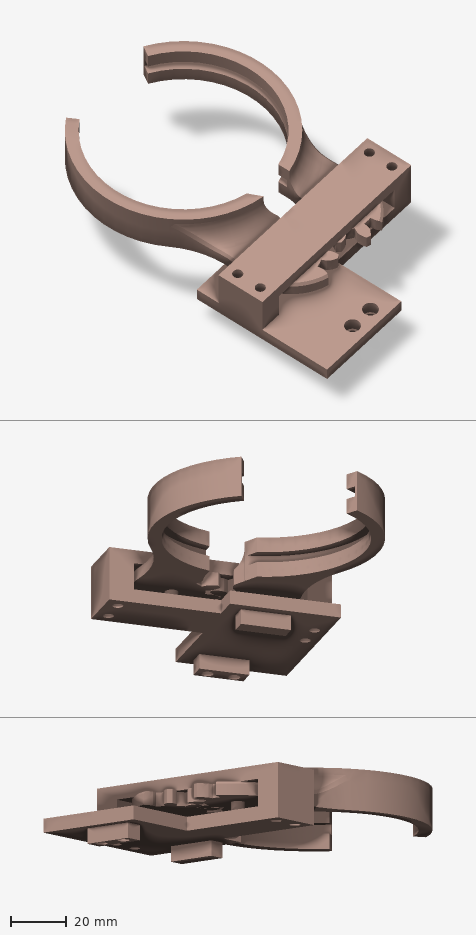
import cadquery as cq
import math


plate_thickness = 5.0
plate_left = -20.1
plate_right = 40.0
plate_back = -0.1
bridge_length = 84.1
bridge_width = 20.3
bridge_height = 15.0
leg_length = 9.3
tunnel_height = 10.0
screw_hole_diameter = 4.0
screw_spacing_x = 10.4
screw_spacing_y = 74.4

pad_height = 5.6
pad_length = 18.9
pad_sides = [(-16.3, -bridge_width / 2), (29.9, 36.6)]
mount_hole_x = 33.8
mount_hole_spacing = 10.1
mount_hole_diameter = 4.4
mount_counterbore_diameter = 6.0

pivot_y = 15.0
pin_diameter = 5.0
tooth_count = 10
tooth_pitch_angle = 360 / tooth_count
tooth_half_angle = 8.8
pressure_angle = 20
pitch_radius = pivot_y
tip_radius = 18.0
root_radius = 12.0
base_radius = pitch_radius * math.cos(math.radians(pressure_angle))
flank_steps = 4

overall_length = 137
jaw_bottom = plate_thickness + 4.9
gear_thickness = plate_thickness + tunnel_height - jaw_bottom
ring_height = 15.0
ring_outer_radius = 42.5
ring_inner_radius = 37.5
ring_tip_angle = 149
ring_inner_end_y = 8.9
ring_x = plate_right - overall_length - ring_outer_radius * math.cos(math.radians(ring_tip_angle))
groove_width = 3.8
groove_radius = 41.4
arm_fillet_radius = 7.5
arm_tangent_angle = 57.7
arm_curve_radius = 39.7
arm_turn_angle = 11.3
arm_end_radius = 22.9
arm_edge_chamfer = 1.0


def polar(radius, degrees, center=(0, 0)):
    """Point at a radius and angle about a center."""
    angle = math.radians(degrees)
    return (center[0] + radius * math.cos(angle), center[1] + radius * math.sin(angle))


def block(x_range, y_range, z_range):
    """Box between the given limits along each axis."""
    size = [limits[1] - limits[0] for limits in (x_range, y_range, z_range)]
    corner = (x_range[0], y_range[0], z_range[0])
    return cq.Workplane("XY").box(*size, centered=False).translate(corner)


def make_frame():
    half_length = bridge_length / 2
    half_width = bridge_width / 2
    bridge_top = plate_thickness + bridge_height

    frame = block((plate_left, plate_right), (-half_length, plate_back), (0, plate_thickness))
    bridge = block((-half_width, half_width), (-half_length, half_length), (0, bridge_top))
    tunnel_end = half_length - leg_length
    tunnel = block(
        (-half_width, half_width),
        (-tunnel_end, tunnel_end),
        (plate_thickness, plate_thickness + tunnel_height),
    )
    frame = frame.union(bridge.cut(tunnel))

    for sides in pad_sides:
        pad_ends = (-pivot_y - pad_length / 2, -pivot_y + pad_length / 2)
        frame = frame.union(block(sides, pad_ends, (-pad_height, 0)))

    pivot_pin = (
        cq.Workplane("XY")
        .center(0, pivot_y)
        .circle(pin_diameter / 2)
        .extrude(plate_thickness + tunnel_height)
    )
    frame = frame.union(pivot_pin)

    screw_holes = (
        cq.Workplane("XY")
        .rarray(screw_spacing_x, screw_spacing_y, 2, 2)
        .circle(screw_hole_diameter / 2)
        .extrude(bridge_top)
    )
    frame = frame.cut(screw_holes)

    mount_bores = [
        (mount_hole_diameter, plate_thickness + pad_height),
        (mount_counterbore_diameter, plate_thickness),
    ]
    for diameter, depth in mount_bores:
        bores = (
            cq.Workplane("XY", origin=(mount_hole_x, -pivot_y, plate_thickness))
            .rarray(1.4, mount_hole_spacing, 1, 2)
            .circle(diameter / 2)
            .extrude(-depth)
        )
        frame = frame.cut(bores)
    return frame


pivot = (0, pivot_y)
ring_center = (ring_x, 0)
arm_curve_center = polar(ring_outer_radius + arm_curve_radius, arm_tangent_angle, ring_center)
arm_end_center = polar(arm_curve_radius + arm_end_radius, -90 + arm_turn_angle, arm_curve_center)


def involute(degrees):
    """Involute function, in degrees."""
    angle = math.radians(degrees)
    return math.degrees(math.tan(angle)) - degrees


def half_angle_at(radius):
    """Half the angle that a gear tooth spans at a radius."""
    flank_angle = math.degrees(math.acos(base_radius / radius))
    return tooth_half_angle + involute(pressure_angle) - involute(flank_angle)


def make_tooth(axis_angle):
    """One involute tooth, reaching down into the gear hub with radial sides below the base circle."""
    step = (tip_radius - base_radius) / flank_steps
    radii = [base_radius + step * i for i in range(flank_steps + 1)]
    lower = [polar(r, axis_angle - half_angle_at(r), pivot) for r in radii]
    upper = [polar(r, axis_angle + half_angle_at(r), pivot) for r in reversed(radii)]
    return (
        cq.Workplane("XY")
        .moveTo(*pivot)
        .lineTo(*lower[0])
        .spline(lower[1:], includeCurrent=True)
        .threePointArc(polar(tip_radius, axis_angle, pivot), upper[0])
        .spline(upper[1:], includeCurrent=True)
        .close()
        .extrude(ring_height)
    )


def make_gear(first_tooth_angle):
    """Gear at full ring height; the flare later trims its top."""
    gear = cq.Workplane("XY").center(*pivot).circle(root_radius).extrude(ring_height)
    for i in range(tooth_count):
        gear = gear.union(make_tooth(first_tooth_angle - i * tooth_pitch_angle))
    return gear


def make_ring(outer_end):
    """Ring sector from the open tip to the end beside the gear."""
    inner_end_x = ring_x + math.sqrt(ring_inner_radius**2 - ring_inner_end_y**2)
    return (
        cq.Workplane("XY")
        .moveTo(*polar(ring_outer_radius, ring_tip_angle, ring_center))
        .threePointArc(polar(ring_outer_radius, 90, ring_center), outer_end)
        .lineTo(inner_end_x, ring_inner_end_y)
        .threePointArc(
            polar(ring_inner_radius, 90, ring_center),
            polar(ring_inner_radius, ring_tip_angle, ring_center),
        )
        .close()
        .extrude(ring_height)
    )


def arm_edge(end_angle):
    """Start of the arm's outer edge: a concave arc off the ring runs into the rounded arm end."""
    curve_end_angle = -90 + arm_turn_angle
    end_middle_angle = (90 + arm_turn_angle + end_angle) / 2
    return (
        cq.Workplane("XY")
        .moveTo(*polar(ring_outer_radius, arm_tangent_angle, ring_center))
        .threePointArc(
            polar(arm_curve_radius, -90, arm_curve_center),
            polar(arm_curve_radius, curve_end_angle, arm_curve_center),
        )
        .threePointArc(
            polar(arm_end_radius, end_middle_angle, arm_end_center),
            polar(arm_end_radius, end_angle, arm_end_center),
        )
    )


def make_flare():
    """Flat plate around the ring axis that rises to the ring with a concave fillet."""
    reach = 2 * tip_radius - ring_x
    fillet_top = gear_thickness + arm_fillet_radius
    fillet_foot = ring_outer_radius + arm_fillet_radius
    fillet_middle = polar(arm_fillet_radius, 225, (fillet_foot, fillet_top))
    return (
        cq.Workplane("XZ")
        .lineTo(reach, 0)
        .lineTo(reach, gear_thickness)
        .lineTo(fillet_foot, gear_thickness)
        .threePointArc(fillet_middle, (ring_outer_radius, fillet_top))
        .lineTo(0, fillet_top)
        .close()
        .revolve(360, (0, 0), (0, 1))
        .translate((ring_x, 0, 0))
    )


def make_arm(first_tooth_angle, last_tooth_angle, end_angle, outer_end):
    """Arm between ring and gear, bounded by the first and the last tooth, at full ring height."""
    tip_corner = polar(tip_radius, last_tooth_angle + half_angle_at(tip_radius), pivot)
    wall_radius = (ring_outer_radius + groove_radius) / 2
    wall_end_x = ring_x + math.sqrt(wall_radius**2 - outer_end[1] ** 2)
    return (
        arm_edge(end_angle)
        .lineTo(*polar(root_radius, first_tooth_angle, pivot))
        .lineTo(*pivot)
        .lineTo(*tip_corner)
        .lineTo(*outer_end)
        .lineTo(wall_end_x, outer_end[1])
        .threePointArc(
            polar(wall_radius, arm_tangent_angle / 2, ring_center),
            polar(wall_radius, arm_tangent_angle, ring_center),
        )
        .close()
        .extrude(ring_height)
    )


def make_gear_limit(end_angle):
    """Space inside the arm's outer edge, which no tooth may cross."""
    right = 2 * tip_radius
    lowest = pivot_y - right
    return (
        arm_edge(end_angle)
        .lineTo(right, polar(arm_end_radius, end_angle, arm_end_center)[1])
        .lineTo(right, lowest)
        .lineTo(polar(ring_outer_radius, arm_tangent_angle, ring_center)[0], lowest)
        .close()
        .extrude(ring_height)
    )


def chamfer_arm_edge(arm, end_angle):
    """Chamfer the upper outer edge of the arm, from the flare to the rounded end."""
    edge_points = [
        polar(arm_curve_radius, -90 - arm_tangent_angle / 4, arm_curve_center),
        polar(arm_curve_radius, -90 + arm_turn_angle / 2, arm_curve_center),
        polar(arm_end_radius, (90 + end_angle) / 2, arm_end_center),
    ]
    edges = cq.Workplane("XY").newObject([])
    for x, y in edge_points:
        ring_distance = math.hypot(x - ring_x, y) - ring_outer_radius
        slope = max(arm_fillet_radius - ring_distance, 0)
        height = gear_thickness + arm_fillet_radius - math.sqrt(arm_fillet_radius**2 - slope**2)
        edges = edges.add(arm.edges(cq.NearestToPointSelector((x, y, height))))
    return arm.newObject([arm.findSolid().chamfer(arm_edge_chamfer, None, edges.vals())])


def make_jaw(first_tooth_angle, last_tooth_angle, end_angle, ring_outer_end_y):
    outer_end_x = ring_x + math.sqrt(ring_outer_radius**2 - ring_outer_end_y**2)
    outer_end = (outer_end_x, ring_outer_end_y)

    gear = make_gear(first_tooth_angle).intersect(make_gear_limit(end_angle))
    arm = make_arm(first_tooth_angle, last_tooth_angle, end_angle, outer_end)
    jaw = arm.union(gear).intersect(make_flare())
    jaw = chamfer_arm_edge(jaw, end_angle)
    jaw = jaw.union(make_ring(outer_end))

    groove = (
        cq.Workplane("XY", origin=(ring_x, 0, (ring_height - groove_width) / 2))
        .circle(groove_radius)
        .extrude(groove_width)
    )
    return jaw.cut(groove)


def make_pinned_jaw():
    """Jaw that turns on the frame's pivot pin."""
    pin_hole = cq.Workplane("XY").center(*pivot).circle(pin_diameter / 2).extrude(gear_thickness)
    first_tooth_angle = tooth_pitch_angle / 2
    pitches_past_first_tooth = 5
    last_tooth_angle = first_tooth_angle - pitches_past_first_tooth * tooth_pitch_angle
    arm_end_angle = 26.6
    jaw = make_jaw(first_tooth_angle, last_tooth_angle, arm_end_angle, ring_inner_end_y)
    return jaw.cut(pin_hole).translate((0, 0, jaw_bottom))


def make_driven_jaw():
    """Opposite jaw, turned by half a tooth so that the gears mesh."""
    driven_ring_outer_end_y = 6.2
    first_tooth_angle = 0
    pitches_past_first_tooth = 4
    last_tooth_angle = first_tooth_angle - pitches_past_first_tooth * tooth_pitch_angle
    arm_end_angle = 14.8
    jaw = make_jaw(first_tooth_angle, last_tooth_angle, arm_end_angle, driven_ring_outer_end_y)
    return jaw.mirror("XZ").translate((0, 0, jaw_bottom))


frame = make_frame()
pinned_jaw = make_pinned_jaw()
driven_jaw = make_driven_jaw()
result = cq.Compound.makeCompound([frame.val(), pinned_jaw.val(), driven_jaw.val()])